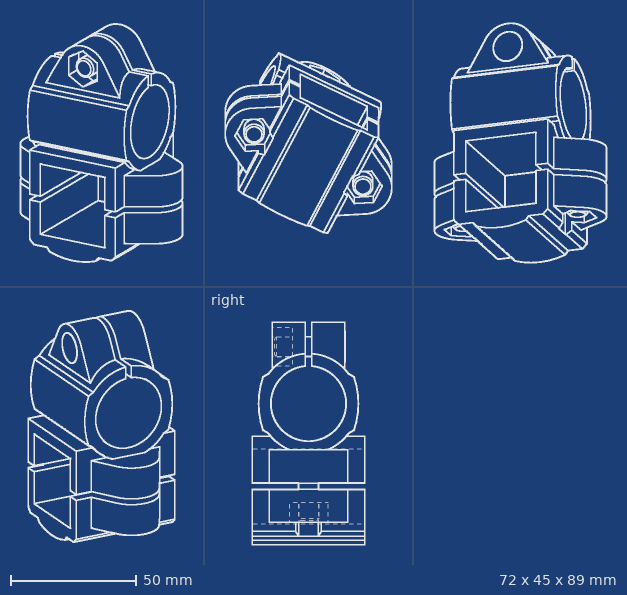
import cadquery as cq
import math

bore_size = 30.0
wall = 5.0
clamp_size = bore_size + 2 * wall
clamp_length = 45.0
slot_gap = 2.5
corner_chamfer = 2.0

tube_z = 33.0
tube_radius = clamp_size / 2

pad_half_width = 10.7
pad_foot_half_width = 11.9
pad_sagitta = 1.8
tube_pad_reach = tube_radius
tube_pad_foot = 16.0
base_pad_reach = 23.4
base_pad_foot = clamp_size / 2

lug_thickness = 29.0
lug_tip_radius = 11.0
lug_flank_angle = math.radians(30)
overall_width = 72.0
side_lug_reach = overall_width / 2
overall_height = 89
top_lug_reach = overall_height - base_pad_reach
top_lug_base = tube_z + math.sqrt(tube_radius**2 - (lug_thickness / 2) ** 2)

screw_diameter = 8.0
screw_end_chamfer = 0.8
screw_end_inset = 0.9
side_screw_x = 24.4
top_screw_z = top_lug_reach - 9.8
nut_across_flats = 13.3
nut_pocket_depth = 8.0
head_diameter = 13.0
head_height = 8.0
head_protrusion = 0.1
head_chamfer = 0.4


def tube_cylinder(radius):
    """Cylinder along the tube axis, as long as the clamp."""
    return cq.Workplane("YZ").center(0, tube_z).circle(radius).extrude(clamp_length / 2, both=True)


def pad(plane, reach, foot):
    """Pad centred along the plane normal, rising along local X from `foot` to `reach`."""
    shoulder = reach - pad_sagitta
    return (
        cq.Workplane(plane)
        .moveTo(foot - wall / 2, -pad_foot_half_width)
        .lineTo(foot, -pad_foot_half_width)
        .lineTo(shoulder, -pad_half_width)
        .threePointArc((reach, 0), (shoulder, pad_half_width))
        .lineTo(foot, pad_foot_half_width)
        .lineTo(foot - wall / 2, pad_foot_half_width)
        .close()
        .extrude(clamp_length / 2, both=True)
    )


def lug(plane, base, reach):
    """Lug centred along the plane normal, running along local X from `base` to `reach`."""
    tip_center = reach - lug_tip_radius
    tangent_x = tip_center + lug_tip_radius * math.sin(lug_flank_angle)
    tangent_y = lug_tip_radius * math.cos(lug_flank_angle)
    base_y = tangent_y + (tangent_x - base) * math.tan(lug_flank_angle)
    return (
        cq.Workplane(plane)
        .moveTo(base, -base_y)
        .lineTo(tangent_x, -tangent_y)
        .threePointArc((reach, 0), (tangent_x, tangent_y))
        .lineTo(base, base_y)
        .close()
        .extrude(lug_thickness / 2, both=True)
    )


def screw_plane(center, axis, corner_direction):
    """Plane at the nut-side face of a lug, with its normal pointing along the screw to the head."""
    origin = cq.Vector(*center) - cq.Vector(*axis) * (lug_thickness / 2)
    return cq.Plane(origin=origin.toTuple(), xDir=corner_direction, normal=axis)


def nut_pocket_cutter(plane):
    """Hexagonal cutter reaching well past the nut-side face; two corners lie along the plane's local X."""
    corner_diameter = nut_across_flats / math.cos(math.pi / 6)
    return (
        cq.Workplane(plane)
        .workplane(offset=nut_pocket_depth)
        .polygon(6, corner_diameter)
        .extrude(-clamp_size)
    )


def screw(plane):
    """Screw shank with a chamfered end just inside the nut pocket, flush with the head-side face."""
    return (
        cq.Workplane(plane)
        .workplane(offset=screw_end_inset)
        .circle(screw_diameter / 2)
        .extrude(lug_thickness - screw_end_inset)
        .faces(cq.selectors.NearestToPointSelector(plane.origin.toTuple()))
        .chamfer(screw_end_chamfer)
    )


up_along_y = cq.Plane(origin=(0, 0, 0), xDir=(0, 0, 1), normal=(0, 1, 0))
down_along_y = cq.Plane(origin=(0, 0, 0), xDir=(0, 0, -1), normal=(0, 1, 0))

body = (
    cq.Workplane("XY")
    .box(clamp_size, clamp_length, clamp_size)
    .edges("|Y and <Z")
    .chamfer(corner_chamfer)
)
body = body.union(pad(down_along_y, base_pad_reach, base_pad_foot))

body = body.union(tube_cylinder(tube_radius))
for side in (-1, 1):
    pad_frame = cq.Plane(origin=(0, 0, tube_z), xDir=(0, side, 0), normal=(1, 0, 0))
    body = body.union(pad(pad_frame, tube_pad_reach, tube_pad_foot))

for side in (-1, 1):
    side_frame = cq.Plane(origin=(0, 0, 0), xDir=(side, 0, 0), normal=(0, 0, 1))
    body = body.union(lug(side_frame, clamp_size / 2, side_lug_reach))
body = body.union(lug(up_along_y, top_lug_base, top_lug_reach))

body = body.cut(cq.Workplane("XY").box(bore_size, clamp_length, bore_size))
body = body.cut(tube_cylinder(bore_size / 2))

body = body.cut(cq.Workplane("XY").box(overall_width, clamp_length, slot_gap))
top_slot_height = top_lug_reach - tube_z
top_slot = (
    cq.Workplane("XY")
    .box(clamp_length, slot_gap, top_slot_height, centered=(True, True, False))
    .translate((0, 0, tube_z))
)
body = body.cut(top_slot)

top_screw_plane = screw_plane((0, 0, top_screw_z), (0, 1, 0), (0, 0, 1))
screw_planes = [top_screw_plane]
for side in (-1, 1):
    screw_planes.append(screw_plane((side * side_screw_x, 0, 0), (0, 0, 1), (0, 1, 0)))
for plane in screw_planes:
    body = body.cut(nut_pocket_cutter(plane)).union(screw(plane))

head = (
    cq.Workplane(top_screw_plane)
    .workplane(offset=lug_thickness + head_protrusion)
    .circle(head_diameter / 2)
    .extrude(-head_height)
    .faces(">Y")
    .chamfer(head_chamfer)
)
result = body.union(head)